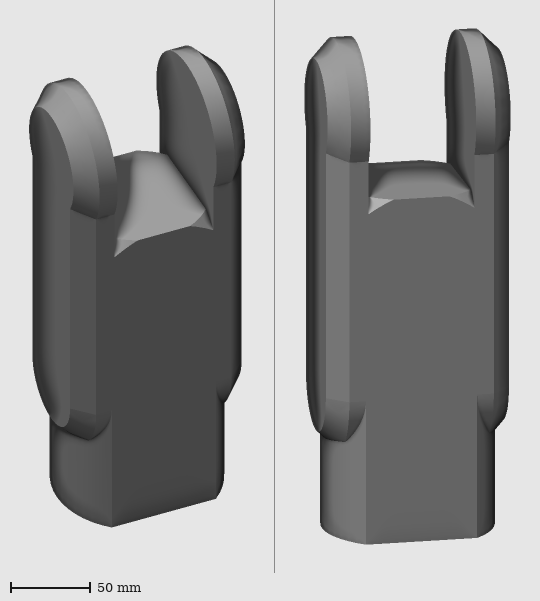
import cadquery as cq

total_height = 320.0
total_depth = 118.0
head_diameter = 94.0
body_width = 83.5

column_diameter = 110.0
column_height = 225.3
column_top_chamfer = 9.5

gap = 68.0
plate_chamfer = 12.5
plate_foot_height = 94.0

plate_thickness = (total_depth - gap) / 2
head_height = total_height - head_diameter / 2


def make_column():
    """Cylinder with a chamfered top, cut to the body width by two flats."""
    cylinder = (
        cq.Workplane("XY")
        .circle(column_diameter / 2)
        .extrude(column_height)
        .faces(">Z")
        .chamfer(column_top_chamfer)
    )
    flats = cq.Workplane("XY").box(
        body_width, column_diameter, column_height, centered=(True, True, False)
    )
    return cylinder.intersect(flats)


def make_plate():
    """Front plate: a chamfered round-ended bar with a larger chamfered head."""
    inner_face = cq.Workplane("XZ", origin=(0, -gap / 2, 0))
    bar_length = head_height - plate_foot_height
    bar = (
        inner_face.center(0, plate_foot_height + bar_length / 2)
        .slot2D(bar_length + body_width, body_width, 90)
        .extrude(plate_thickness)
        .faces("<Y")
        .chamfer(plate_chamfer)
    )
    head = (
        inner_face.center(0, head_height)
        .circle(head_diameter / 2)
        .extrude(plate_thickness)
        .faces("<Y")
        .chamfer(plate_chamfer)
    )
    return bar.union(head)


front_plate = make_plate()
back_plate = front_plate.mirror("XZ")
result = make_column().union(front_plate).union(back_plate)